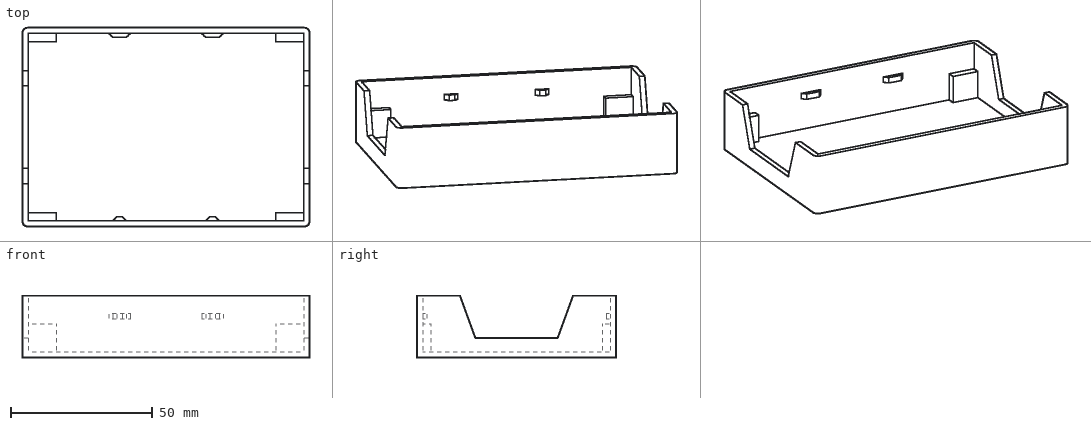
import cadquery as cq
import math

length = 101.8
width = 70.5
height = 22.0
wall = 2.0
floor = 2.0
corner_radius = 2.0
inner_length = length - 2 * wall
inner_width = width - 2 * wall

notch_top_width = 40.0
notch_bottom_z = 7.0
notch_side_angle = 20.0

block_length = 10.0
block_depth = 3.0
block_height = 10.0

tab_spacing = 32.9
tab_depth = 1.4
tab_height = 2.0
tab_bottom_z = 13.7
back_tab_width = 7.7
front_tab_width = 4.9


def make_tray():
    """Open box with rounded outer and sharp inner vertical corners."""
    shell = cq.Workplane("XY").box(length, width, height, centered=(True, True, False))
    shell = shell.edges("|Z").fillet(corner_radius)
    cavity = (
        cq.Workplane("XY", origin=(0, 0, floor))
        .box(inner_length, inner_width, height, centered=(True, True, False))
    )
    return shell.cut(cavity)


def make_notch():
    """Trapezoidal prism along X, open at the rim."""
    half_top = notch_top_width / 2
    side_run = (height - notch_bottom_z) * math.tan(math.radians(notch_side_angle))
    half_bottom = half_top - side_run
    return (
        cq.Workplane("YZ")
        .polyline([
            (-half_top, height),
            (-half_bottom, notch_bottom_z),
            (half_bottom, notch_bottom_z),
            (half_top, height),
        ])
        .close()
        .extrude(length, both=True)
    )


def make_block(x_side, y_side):
    """Corner block standing on the floor against two walls."""
    x = x_side * (inner_length - block_length) / 2
    y = y_side * (inner_width - block_depth) / 2
    return (
        cq.Workplane("XY", origin=(x, y, floor))
        .box(block_length, block_depth, block_height, centered=(True, True, False))
    )


def make_tab(x, y_side, base_width):
    """Tab with 45 degree ends, tapering inward from a long wall."""
    half_base = base_width / 2
    half_tip = half_base - tab_depth
    wall_y = y_side * inner_width / 2
    tip_y = wall_y - y_side * tab_depth
    return (
        cq.Workplane("XY", origin=(0, 0, tab_bottom_z))
        .polyline([
            (x - half_base, wall_y),
            (x - half_tip, tip_y),
            (x + half_tip, tip_y),
            (x + half_base, wall_y),
        ])
        .close()
        .extrude(tab_height)
    )


result = make_tray().cut(make_notch())
for x_side in (-1, 1):
    for y_side, tab_width in ((-1, front_tab_width), (1, back_tab_width)):
        result = result.union(make_block(x_side, y_side))
        result = result.union(make_tab(x_side * tab_spacing / 2, y_side, tab_width))